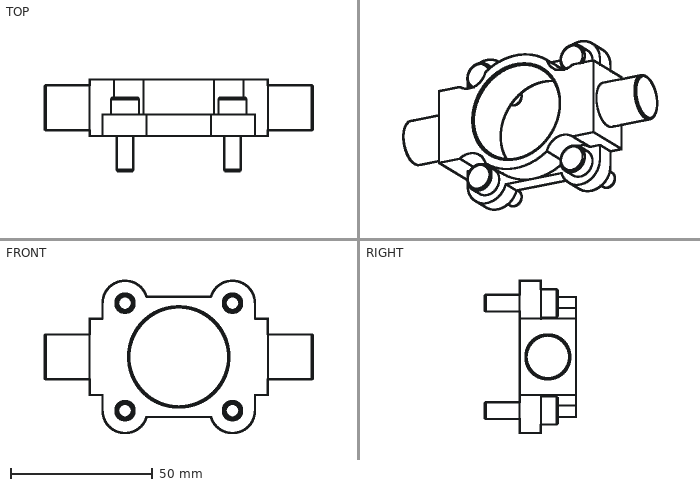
import cadquery as cq

OVERALL_LENGTH = 95.0
BLOCK_LENGTH = 63.1
BLOCK_HEIGHT = 27.1
BLOCK_DEPTH = 20.0

TRUNNION_DIAMETER = 16.0
TRUNNION_CHAMFER = 0.5

RING_DIAMETER = 42.6
BORE_DIAMETER = 35.0
BORE_CHAMFER = 0.5

FLANGE_THICKNESS = 7.6
SCREW_SPACING = 38.0
LUG_RADIUS = 8.0
SCREW_HOLE_DIAMETER = 6.8
HEAD_CLEARANCE_DIAMETER = 13.5

SHANK_DIAMETER = 6.0
SHANK_PROTRUSION = 12.4
TIP_CHAMFER = 0.6
HEAD_DIAMETER = 10.0
HEAD_HEIGHT = 6.0
HEAD_CHAMFER = 0.6

FRONT_Y = -BLOCK_DEPTH / 2
BACK_Y = BLOCK_DEPTH / 2
FLANGE_BACK_Y = FRONT_Y + FLANGE_THICKNESS

SCREW_POSITIONS = [
    (x_side * SCREW_SPACING / 2, z_side * SCREW_SPACING / 2)
    for x_side in (-1, 1)
    for z_side in (-1, 1)
]


def cylinder_along_y(diameter, start_y, end_y, x=0.0, z=0.0):
    """Cylinder parallel to Y, centred on (x, z)."""
    start = cq.Vector(x, start_y, z)
    solid = cq.Solid.makeCylinder(diameter / 2, end_y - start_y, start, cq.Vector(0, 1, 0))
    return cq.Workplane(obj=solid)


def make_trunnions():
    """One bar through the block; its two ends are the trunnions."""
    return (
        cq.Workplane("YZ")
        .circle(TRUNNION_DIAMETER / 2)
        .extrude(OVERALL_LENGTH / 2, both=True)
        .faces("<X or >X")
        .chamfer(TRUNNION_CHAMFER)
    )


def make_flange():
    """Plate as high as the ring, widened by four lugs with straight outer sides."""
    width = SCREW_SPACING + 2 * LUG_RADIUS
    middle_y = (FRONT_Y + FLANGE_BACK_Y) / 2
    flange = cq.Workplane().box(SCREW_SPACING, FLANGE_THICKNESS, RING_DIAMETER)
    flange = flange.union(cq.Workplane().box(width, FLANGE_THICKNESS, SCREW_SPACING))
    flange = flange.translate((0, middle_y, 0))
    for x, z in SCREW_POSITIONS:
        flange = flange.union(cylinder_along_y(2 * LUG_RADIUS, FRONT_Y, FLANGE_BACK_Y, x, z))
    return flange


def make_bore():
    """Volume of the bore, flared at both ends by the rim chamfers."""
    radius = BORE_DIAMETER / 2
    rim_radius = radius + BORE_CHAMFER
    bore = cylinder_along_y(BORE_DIAMETER, FRONT_Y, BACK_Y)
    for end_y, inward in ((FRONT_Y, 1), (BACK_Y, -1)):
        rim_centre = cq.Vector(0, end_y, 0)
        flare = cq.Solid.makeCone(rim_radius, radius, BORE_CHAMFER, rim_centre, cq.Vector(0, inward, 0))
        bore = bore.union(cq.Workplane(obj=flare))
    return bore


def make_housing():
    """Block and ring, relieved around the screw heads, with flange, trunnions and bore."""
    housing = cq.Workplane().box(BLOCK_LENGTH, BLOCK_DEPTH, BLOCK_HEIGHT)
    housing = housing.union(cylinder_along_y(RING_DIAMETER, FRONT_Y, BACK_Y))
    for x, z in SCREW_POSITIONS:
        housing = housing.cut(cylinder_along_y(HEAD_CLEARANCE_DIAMETER, FLANGE_BACK_Y, BACK_Y, x, z))
    housing = housing.union(make_flange()).union(make_trunnions())
    for x, z in SCREW_POSITIONS:
        housing = housing.cut(cylinder_along_y(SCREW_HOLE_DIAMETER, FRONT_Y, FLANGE_BACK_Y, x, z))
    return housing.cut(make_bore())


def make_screw(x, z):
    """Cap screw whose head rests on the back of the flange."""
    shank = cylinder_along_y(SHANK_DIAMETER, FRONT_Y - SHANK_PROTRUSION, FLANGE_BACK_Y, x, z)
    shank = shank.faces("<Y").chamfer(TIP_CHAMFER)
    head = cylinder_along_y(HEAD_DIAMETER, FLANGE_BACK_Y, FLANGE_BACK_Y + HEAD_HEIGHT, x, z)
    head = head.faces(">Y").chamfer(HEAD_CHAMFER)
    return shank.union(head)


housing = make_housing()
screws = [make_screw(x, z).val() for x, z in SCREW_POSITIONS]

result = cq.Compound.makeCompound([housing.val(), *screws])